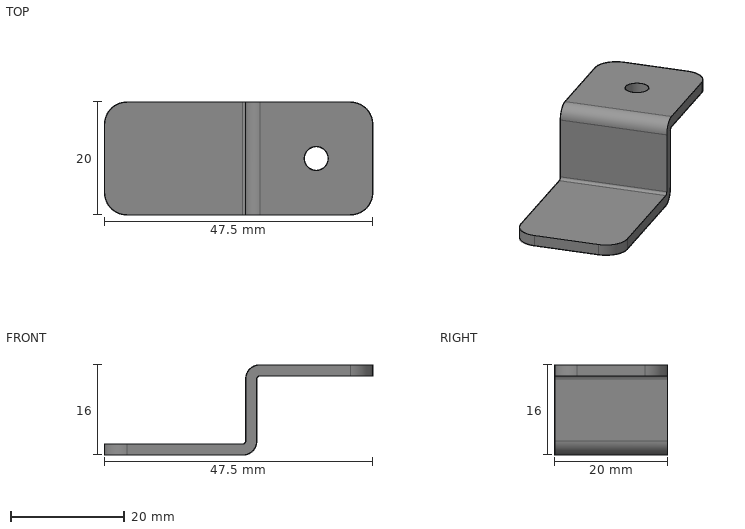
import cadquery as cq

length = 47.5
width = 20.0
height = 16.0

thickness = 2.0
inner_bend_radius = 0.5
outer_bend_radius = inner_bend_radius + thickness
corner_radius = 4.0

web_left = 25.0
web_right = web_left + thickness

hole_diameter = 4.2
hole_end_distance = 10.0


def bent_sheet():
    """Z profile in the XZ plane, extruded evenly to both sides of Y = 0."""
    sheet = (
        cq.Workplane("XZ")
        .moveTo(0, 0)
        .lineTo(web_right, 0)
        .lineTo(web_right, height - thickness)
        .lineTo(length, height - thickness)
        .lineTo(length, height)
        .lineTo(web_left, height)
        .lineTo(web_left, thickness)
        .lineTo(0, thickness)
        .close()
        .extrude(width / 2, both=True)
    )
    inner_bends = ((web_left, thickness), (web_right, height - thickness))
    outer_bends = ((web_right, 0), (web_left, height))
    for bends, radius in ((inner_bends, inner_bend_radius), (outer_bends, outer_bend_radius)):
        for x, z in bends:
            edge = cq.selectors.NearestToPointSelector((x, 0, z))
            sheet = sheet.edges("|Y").edges(edge).fillet(radius)
    return sheet


def round_flange_corners(sheet):
    """Round the two free corners of each flange."""
    for free_end in ("<X", ">X"):
        sheet = sheet.faces(free_end).edges("|Z").fillet(corner_radius)
    return sheet


def mounting_hole():
    """Cutter for the hole through the upper flange."""
    return (
        cq.Workplane("XY", origin=(length - hole_end_distance, 0, height - thickness))
        .circle(hole_diameter / 2)
        .extrude(thickness)
    )


result = round_flange_corners(bent_sheet()).cut(mounting_hole())